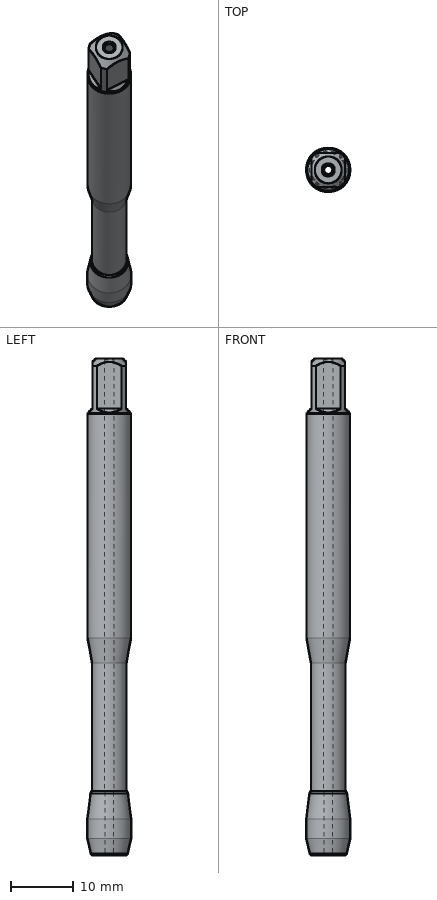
import cadquery as cq
import math

total_length = 80.0
head_bore_diameter = 1.4
shank_bore_diameter = 1.5
neck_diameter = 5.6

head_diameter = 7.1
tip_diameter = 5.4
lead_diameter = 6.0
head_shoulder_diameter = 6.1
tip_chamfer_top = 0.3
lead_top = 2.7
head_cylinder_top = 5.8
head_shoulder = 10.0
head_top = 10.4

shank_diameter = 7.0
neck_top = 31.0
shank_bottom = 35.0
shank_shoulder = 71.0

drive_width = 5.4
drive_corner_diameter = 6.7
drive_bottom = 71.9
runout_angle = 45.0
drive_end_diameter = 4.3
countersink_diameter = 2.1

shank_shoulder_chamfer = (shank_diameter - drive_corner_diameter) / 2

drive_bevel = (drive_corner_diameter - drive_end_diameter) / 2
flat_count = 4


def turned(stations):
    """Solid of revolution about Z from (diameter, height) stations, bottom to top."""
    points = [(diameter / 2, height) for diameter, height in stations]
    outline = [(0, stations[0][1])] + points + [(0, stations[-1][1])]
    return cq.Workplane("XZ").polyline(outline).close().revolve(360, (0, 0), (0, 1))


def bore(bore_diameter):
    """Straight bore of the given diameter along the axis."""
    return cq.Workplane("XY").circle(bore_diameter / 2).extrude(total_length)


def countersink():
    """45 degree countersink where the bore opens in the drive end."""
    depth = (countersink_diameter - shank_bore_diameter) / 2
    return turned([(shank_bore_diameter, total_length - depth), (countersink_diameter, total_length)])


def drive_flat_cutter():
    """Material outside the +X flat, with a sloping run-out ramp at its foot."""
    inner = drive_width / 2
    outer = shank_diameter
    ramp_drop = (outer - inner) / math.tan(math.radians(runout_angle))
    profile = [
        (inner, total_length),
        (inner, drive_bottom),
        (outer, drive_bottom - ramp_drop),
        (outer, total_length),
    ]
    return cq.Workplane("XZ").polyline(profile).close().extrude(shank_diameter / 2, both=True)


def make_head():
    """Threaded head, simplified to its enveloping cylinder and cones."""
    body = turned([
        (tip_diameter, 0),
        (lead_diameter, tip_chamfer_top),
        (head_diameter, lead_top),
        (head_diameter, head_cylinder_top),
        (head_shoulder_diameter, head_shoulder),
        (neck_diameter, head_top),
    ])
    return body.cut(bore(head_bore_diameter))


def make_shank():
    """Neck, shank and square drive, standing on the head."""
    body = turned([
        (neck_diameter, head_top),
        (neck_diameter, neck_top),
        (shank_diameter, shank_bottom),
        (shank_diameter, shank_shoulder),
        (drive_corner_diameter, shank_shoulder + shank_shoulder_chamfer),
        (drive_corner_diameter, total_length - drive_bevel),
        (drive_end_diameter, total_length),
    ])
    for index in range(flat_count):
        angle = index * 360 / flat_count
        body = body.cut(drive_flat_cutter().rotate((0, 0, 0), (0, 0, 1), angle))
    return body.cut(bore(shank_bore_diameter)).cut(countersink())


head = make_head()
shank = make_shank()
result = cq.Compound.makeCompound([head.val(), shank.val()])